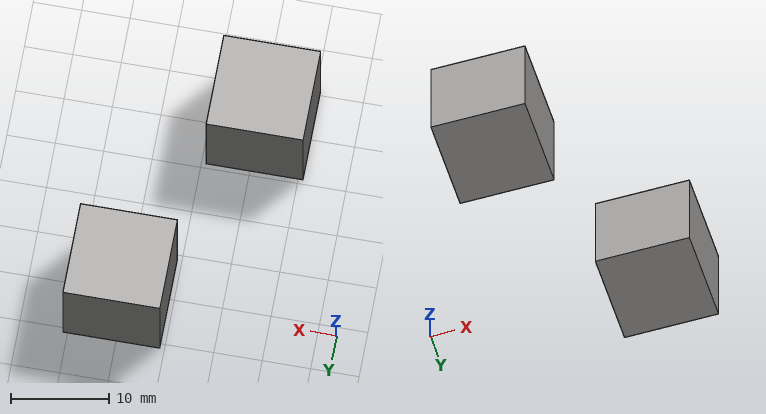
import cadquery as cq

overall_width = 21.0
overall_depth = 31.0
cube_side = 10.0

cube_corners = [
    (0, 0),
    (overall_width - cube_side, overall_depth - cube_side),
]


def make_cube(corner_x, corner_y):
    """A plain cube standing on the XY plane, with its minimum corner at the given place."""
    cube = cq.Workplane("XY").box(cube_side, cube_side, cube_side, centered=False)
    return cube.translate((corner_x, corner_y, 0))


cubes = []
for corner_x, corner_y in cube_corners:
    cubes.append(make_cube(corner_x, corner_y).val())

result = cq.Compound.makeCompound(cubes)